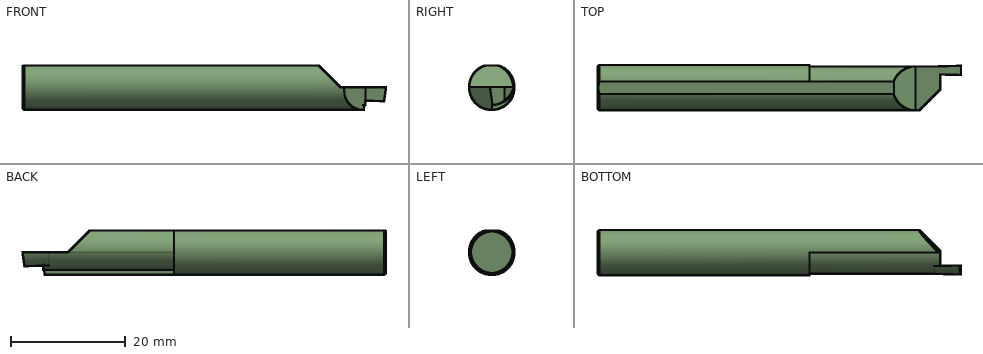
import math
import cadquery as cq

overall_length = 63.5
overall_height = 7.78
shank_diameter = 7.9375
shank_radius = shank_diameter / 2
end_chamfer = 0.35

flat_height = overall_height - shank_radius
flat_half_width = math.sqrt(shank_radius**2 - flat_height**2)

relief_start = 37.0
relief_side = 3.72
relief_depth = 3.1
upper_arc_width = relief_side - flat_half_width
upper_relief_radius = (upper_arc_width**2 + flat_height**2) / (2 * upper_arc_width)
lower_relief_radius = (relief_side**2 + relief_depth**2) / (2 * relief_depth)

ramp_foot = 55.55
shoulder_x = 59.87
bevel_start_y = -0.32
bevel_lean = 6.0

blade_root_inner = 2.3
blade_tip_inner = 2.2
blade_tip_flare = 0.13
blade_overlap = 1.0
tip_lean = 8.0

clear = shank_diameter


def make_shank():
    """Round bar along X with a chamfered rear end and the locating flat."""
    bar = cq.Workplane("YZ").circle(shank_radius).extrude(overall_length)
    bar = bar.faces("<X").chamfer(end_chamfer)
    flat_cutter = (
        cq.Workplane("XY", origin=(0, 0, flat_height))
        .rect(2 * (overall_length + clear), 2 * clear)
        .extrude(clear)
    )
    return bar.cut(flat_cutter)


def make_relief_cutter():
    """Space outside the neck on the +Y side: an upper arc and a lower arc meeting at axis height."""
    return (
        cq.Workplane("YZ", origin=(relief_start, 0, 0))
        .moveTo(flat_half_width, flat_height)
        .radiusArc((relief_side, 0), upper_relief_radius)
        .radiusArc((0, -relief_depth), lower_relief_radius)
        .lineTo(0, -clear)
        .lineTo(clear, -clear)
        .lineTo(clear, clear)
        .lineTo(flat_half_width, clear)
        .close()
        .extrude(overall_length)
    )


def make_ramp_cutter():
    """Space above the rake face and the 45 degree ramp that leads down to it."""
    return (
        cq.Workplane("XZ")
        .moveTo(ramp_foot, 0)
        .lineTo(overall_length + clear, 0)
        .lineTo(overall_length + clear, clear)
        .lineTo(ramp_foot - clear, clear)
        .close()
        .extrude(clear, both=True)
    )


def make_shoulder_cutter():
    """Space in front of the shoulder face."""
    return (
        cq.Workplane("YZ", origin=(shoulder_x, 0, 0))
        .rect(2 * clear, 2 * clear)
        .extrude(overall_length)
    )


def make_bevel_cutter():
    """Space in front of the 45 degree bevel on the -Y corner, which leans back below axis height."""
    bevel_plane = cq.Plane(origin=(shoulder_x, bevel_start_y, 0), xDir=(1, 1, 0), normal=(1, -1, 0))
    return (
        cq.Workplane(bevel_plane)
        .rect(4 * clear, 4 * clear)
        .extrude(clear)
        .rotate(
            (shoulder_x, bevel_start_y, 0),
            (shoulder_x + 1, bevel_start_y + 1, 0),
            bevel_lean,
        )
    )


def blade_section(workplane, inner_y, flare):
    """Blade cross-section: flat top at axis height, upright inner side, curved outer side."""
    arc_center_z = lower_relief_radius - relief_depth
    bottom_z = arc_center_z - math.sqrt(lower_relief_radius**2 - (inner_y - flare) ** 2)
    return (
        workplane.moveTo(inner_y, 0)
        .lineTo(relief_side + flare, 0)
        .radiusArc((inner_y, bottom_z), lower_relief_radius)
        .close()
    )


def make_blade():
    """Blade that widens from the shoulder to the cutting edge, with end clearance."""
    root_x = shoulder_x - blade_overlap
    blade = blade_section(cq.Workplane("YZ", origin=(root_x, 0, 0)), blade_root_inner, 0)
    blade = blade.workplane(offset=overall_length - root_x)
    blade = blade_section(blade, blade_tip_inner, blade_tip_flare).loft(ruled=True)
    lean_back = clear * math.tan(math.radians(tip_lean))
    tip_cutter = (
        cq.Workplane("XZ")
        .moveTo(overall_length, 0)
        .lineTo(overall_length - lean_back, -clear)
        .lineTo(overall_length + clear, -clear)
        .lineTo(overall_length + clear, 0)
        .close()
        .extrude(clear, both=True)
    )
    return blade.cut(tip_cutter)


body = make_shank()
body = body.cut(make_relief_cutter())
body = body.cut(make_ramp_cutter())
body = body.cut(make_shoulder_cutter())
body = body.cut(make_bevel_cutter())
result = body.union(make_blade())